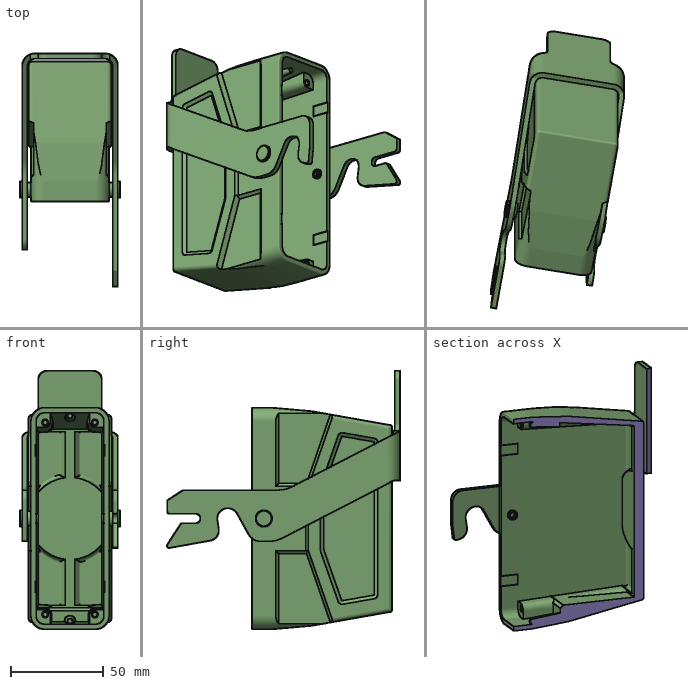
import cadquery as cq
import math


overall_width = 54.6
overall_height = 140.0

hood_height = 120.0
hood_depth = 75.9
wall = 2.8
rim_half_width = 21.1
rim_corner_radius = 7.3
rim_edge_fillet = 0.5
panel_half_width = 19.7
shoulder_half_width = 22.5
shoulder_side_fillet = 2.2
shoulder_back_fillet = 1.3
first_slope_y = 11.2
second_slope_y = 32.0
first_slope = math.tan(math.radians(5))
second_slope = math.tan(math.radians(10))

shoulder_middle_y = 30.5
shoulder_middle_half_height = 17.4
shoulder_end_y = 44.0
shoulder_step_run = 1.5

panel_front_y = 12.9
panel_slope_run = 1.7

pocket_depth = 1.4
pocket_slope_run = 2.0
pocket_back_y = 68.0
pocket_front_y = 37.0
pocket_corner_y = 47.3
pocket_corner_z = 46.8
pocket_corner_radius = 2.2

mouth_depth = 9.8
mouth_corner_radius = 4.5
floor_y = 70.0
floor_top_z = 48.5
floor_half_width = 17.1
clip_recess_depth = 0.5
clip_recess_z = 37.0
clip_recess_height = 5.7

relief_depth = 2.8
relief_disc_radius = 22.3
relief_spine_half_width = 2.7
relief_slope_run = 2.5
relief_disc_slope_run = 1.5
relief_fillet = 0.8
relief_field_half_height = 47.0

screw_x = 13.5
screw_z = 52.0
screw_hole_diameter = 2.7
screw_countersink_diameter = 3.5
screw_hole_depth = 16.8
boss_inner_x = 10.6
boss_inner_z = 49.3
boss_corner_radius = 3.1
boss_draft = 2.5
guide_diameter = 2.7
guide_base_diameter = 6.0
guide_z = 55.6
block_front_y = 27.2
block_top_z = -48.3
block_chamfer = 1.7

pivot_y = 6.5
pivot_head_diameter = 9.0
pivot_head_height = 1.33
pivot_head_chamfer = 0.35
pivot_collar_diameter = 8.0
pivot_stem_diameter = 5.0
pivot_stem_end_x = 17.1
pivot_bore_diameter = 3.5
pivot_bore_depth = 2.1

lever_half_width = overall_width / 2 - pivot_head_height
lever_thickness = 3.0
lever_back_y = 80.2
lever_bend_radius = 7.0
lever_bottom_z = 20.5
arm_slope = math.tan(math.radians(27.3))
arm_low_z = -12.3
arm_high_z = 15.4
arm_high_corner_y = 18.2
arm_low_corner_y = 13.2
arm_elbow_radius = 15.3
hook_radius = 5.5
tab_width = 34.6
tab_corner_radius = 4.9
tab_root_fillet = 4.2

half_height = hood_height / 2
tab_half_width = tab_width / 2
tab_top_z = overall_height - half_height
touching_gap = 1.4e-06


def outer_half_height(y):
    """Half height of the hood at depth y: flat, then a gentle slope, then a steeper one."""
    first_drop = first_slope * max(0.0, min(y, second_slope_y) - first_slope_y)
    second_drop = second_slope * max(0.0, y - second_slope_y)
    return half_height - first_drop - second_drop


def mirrored_in_z(points):
    """Close a (y, z) chain with z >= 0 by its mirror image below z = 0."""
    return points + [(y, -z) for y, z in reversed(points)]


def side_prism(points, x_from, x_to):
    """Prism of a (y, z) outline between two X positions."""
    return cq.Workplane("YZ", origin=(x_from, 0, 0)).polyline(points).close().extrude(x_to - x_from)


def rounded_outline(plane, origin, corners):
    """Closed outline on a plane through (u, v, radius) corners; radius 0 leaves a corner sharp."""
    arcs = []
    for index, (u, v, radius) in enumerate(corners):
        corner = cq.Vector(u, v)
        before = cq.Vector(*corners[index - 1][:2])
        after = cq.Vector(*corners[(index + 1) % len(corners)][:2])
        to_before = (before - corner).normalized()
        to_after = (after - corner).normalized()
        half_angle = to_before.getAngle(to_after) / 2
        tangent = radius / math.tan(half_angle)
        middle = corner + (to_before + to_after).normalized() * (radius / math.sin(half_angle) - radius)
        arcs.append([corner + to_before * tangent, middle, corner + to_after * tangent])

    previous_end = arcs[-1][2]
    outline = cq.Workplane(plane, origin=origin).moveTo(previous_end.x, previous_end.y)
    for (start, middle, end), (u, v, radius) in zip(arcs, corners):
        if (start - previous_end).Length > touching_gap:
            outline = outline.lineTo(start.x, start.y)
        if radius > 0:
            outline = outline.threePointArc((middle.x, middle.y), (end.x, end.y))
        previous_end = end
    return outline.close()


def mirrored_pair(body):
    """The body together with its mirror image across X = 0."""
    return body.union(body.mirror("YZ"))


def four_corners(body):
    """The body together with its mirror images across X = 0 and Z = 0."""
    pair = mirrored_pair(body)
    return pair.union(pair.mirror("XY"))


def hood_profile():
    """Side outline of the hood from the mouth to the back."""
    stations = [0, first_slope_y, second_slope_y, hood_depth]
    return mirrored_in_z([(y, outer_half_height(y)) for y in stations])


def rim_core():
    """Rounded sleeve around the mouth, trimmed by the slopes at both ends."""
    sleeve = (
        cq.Workplane("XZ")
        .rect(2 * rim_half_width, hood_height)
        .extrude(-(shoulder_end_y + shoulder_step_run))
        .edges("|Y").fillet(rim_corner_radius)
        .faces("<Y").edges().fillet(rim_edge_fillet)
    )
    trim = side_prism(hood_profile(), -rim_half_width, rim_half_width)
    return sleeve.intersect(trim)


def shoulder_outline(forward):
    """Side outline of the wide back part; forward moves its front edge towards the mouth."""
    end_y = shoulder_end_y - forward
    return mirrored_in_z([
        (shoulder_middle_y - forward, shoulder_middle_half_height),
        (end_y, outer_half_height(end_y)),
        (hood_depth, outer_half_height(hood_depth)),
    ])


def shoulder():
    """Wide back part with sloping front edges and rounded outer edges."""
    body = side_prism(shoulder_outline(shoulder_step_run), -panel_half_width, panel_half_width)
    flank = (
        cq.Workplane("YZ", origin=(panel_half_width, 0, 0))
        .polyline(shoulder_outline(shoulder_step_run)).close()
        .workplane(offset=shoulder_half_width - panel_half_width)
        .polyline(shoulder_outline(0)).close()
        .loft(ruled=True)
    )
    body = body.union(mirrored_pair(flank)).clean()
    side_edges = body.faces("<X or >X").edges(
        cq.selectors.BoxSelector(
            (-hood_height, shoulder_end_y, -hood_height), (hood_height, 2 * hood_depth, hood_height)
        )
    )
    body = side_edges.fillet(shoulder_side_fillet)
    return body.faces(">Y").edges("|X").fillet(shoulder_back_fillet)


def middle_ramp():
    """45 degree ramp from the rim side up to the shoulder on the +X side, between the panels."""
    rise = shoulder_half_width - rim_half_width
    section = [
        (rim_half_width, shoulder_middle_y - rise),
        (shoulder_half_width, shoulder_middle_y),
        (rim_half_width, shoulder_middle_y),
    ]
    return cq.Workplane("XY").polyline(section).close().extrude(shoulder_middle_half_height, both=True)


def side_panel():
    """Cutter for the recessed panel in front of the upper shoulder on the +X side."""
    back_y = shoulder_end_y + shoulder_step_run
    floor_y_front = panel_front_y + panel_slope_run
    floor_low_z = shoulder_middle_half_height + panel_slope_run
    floor = [
        (floor_y_front, floor_low_z), (back_y, floor_low_z),
        (back_y, half_height), (floor_y_front, half_height),
    ]
    opening = [
        (panel_front_y, shoulder_middle_half_height), (back_y, shoulder_middle_half_height),
        (back_y, half_height), (panel_front_y, half_height),
    ]
    return (
        cq.Workplane("YZ", origin=(panel_half_width, 0, 0)).polyline(floor).close()
        .workplane(offset=rim_half_width - panel_half_width).polyline(opening).close()
        .loft(ruled=True)
    )


def side_pocket():
    """Cutter for the pocket with sloping walls in the +X side of the shoulder."""
    back_z = pocket_corner_z - second_slope * (pocket_back_y - pocket_corner_y)
    upper = [
        (pocket_front_y, shoulder_middle_half_height, 0),
        (pocket_corner_y, pocket_corner_z, pocket_corner_radius),
        (pocket_back_y, back_z, pocket_corner_radius),
    ]
    lower = [(y, -z, radius) for y, z, radius in reversed(upper)]
    taper = math.degrees(math.atan(pocket_slope_run / pocket_depth))
    opening = rounded_outline("YZ", (shoulder_half_width, 0, 0), upper + lower)
    return opening.extrude(-pocket_depth, taper=taper)


def screw_boss():
    """Corner boss at +X, +Z from the mouth step to the floor, widening towards the floor."""
    section = [
        (boss_inner_x, half_height, 0),
        (boss_inner_x, boss_inner_z, boss_corner_radius),
        (rim_half_width, boss_inner_z, 0),
        (rim_half_width, half_height, 0),
    ]
    face = rounded_outline("XZ", (0, mouth_depth, 0), section)
    return face.extrude(-(hood_depth - mouth_depth), taper=-boss_draft)


def screw_hole():
    """Countersunk screw hole in the boss at +X, +Z."""
    sink_depth = (screw_countersink_diameter - screw_hole_diameter) / 2
    face = cq.Workplane("XZ", origin=(screw_x, mouth_depth, screw_z))
    hole = face.circle(screw_hole_diameter / 2).extrude(-screw_hole_depth)
    sink = (
        face.circle(screw_countersink_diameter / 2)
        .workplane(offset=-sink_depth).circle(screw_hole_diameter / 2)
        .loft()
    )
    return hole.union(sink)


def guide_rib():
    """Tapered round rib along the middle of the upper end wall."""
    return (
        cq.Workplane("XZ", origin=(0, mouth_depth, guide_z)).circle(guide_diameter / 2)
        .workplane(offset=-(block_front_y - mouth_depth)).circle(guide_base_diameter / 2)
        .loft()
    )


def cavity_profile():
    """Side outline of the hollow: a sloping upper wall, and a block across the lower back."""
    mouth_top = half_height - wall
    return [
        (0, mouth_top),
        (first_slope_y, mouth_top),
        (floor_y, floor_top_z),
        (floor_y, block_top_z),
        (block_front_y + block_chamfer, block_top_z),
        (block_front_y, block_top_z - block_chamfer),
        (block_front_y, wall - outer_half_height(block_front_y)),
        (first_slope_y, -mouth_top),
        (0, -mouth_top),
    ]


def cavity():
    """Hollow of the hood: a straight mouth, then walls narrowing to the floor."""
    mouth_half_width = rim_half_width - wall
    plan = [
        (-mouth_half_width, 0), (mouth_half_width, 0), (mouth_half_width, mouth_depth),
        (floor_half_width, floor_y), (-floor_half_width, floor_y), (-mouth_half_width, mouth_depth),
    ]
    narrowing = cq.Workplane("XY", origin=(0, 0, -half_height)).polyline(plan).close().extrude(hood_height)
    sleeve = (
        cq.Workplane("XZ")
        .rect(2 * mouth_half_width, 2 * (half_height - wall))
        .extrude(-hood_depth)
        .edges("|Y").fillet(mouth_corner_radius)
    )
    trim = side_prism(cavity_profile(), -rim_half_width, rim_half_width)
    rib = guide_rib()
    hollow = sleeve.intersect(narrowing).intersect(trim)
    return hollow.cut(four_corners(screw_boss())).cut(rib).cut(rib.mirror("XY"))


def floor_relief():
    """The four sunken fields of the floor, leaving the spine and the disc proud."""
    top_x = relief_spine_half_width
    low_x = top_x + relief_slope_run
    section = [
        (top_x, floor_y), (low_x, floor_y + relief_depth),
        (floor_half_width, floor_y + relief_depth), (floor_half_width, floor_y),
    ]
    field = cq.Workplane("XY").polyline(section).close().extrude(relief_field_half_height)
    disc = (
        cq.Workplane("XZ", origin=(0, floor_y, 0)).circle(relief_disc_radius)
        .workplane(offset=-relief_depth).circle(relief_disc_radius + relief_disc_slope_run)
        .loft()
    )
    return four_corners(field.cut(disc).faces(">Y").edges().fillet(relief_fillet))


def clip_recess():
    """Shallow recess in the mouth wall at +X, +Z."""
    depth = rim_half_width - wall + clip_recess_depth
    return (
        cq.Workplane("XY")
        .box(depth, mouth_depth, clip_recess_height, centered=(False, False, True))
        .translate((0, 0, clip_recess_z))
    )


def make_hood():
    panels = four_corners(side_panel())
    outer = rim_core().cut(panels).union(shoulder()).union(mirrored_pair(middle_ramp()))
    pivot_holes = (
        cq.Workplane("YZ", origin=(-rim_half_width, pivot_y, 0))
        .circle(pivot_stem_diameter / 2).extrude(2 * rim_half_width)
    )
    return (
        outer.cut(mirrored_pair(side_pocket()))
        .cut(cavity())
        .cut(floor_relief())
        .cut(four_corners(screw_hole()))
        .cut(four_corners(clip_recess()))
        .cut(pivot_holes)
    )


def make_pivot_pin(side):
    """Headed pin at +X (side 1) or -X (side -1): head on the arm, collar through it, stem in the hood."""
    head = (
        cq.Workplane("YZ", origin=(lever_half_width, pivot_y, 0))
        .circle(pivot_head_diameter / 2).extrude(pivot_head_height)
        .faces(">X").edges().chamfer(pivot_head_chamfer)
    )
    collar = (
        cq.Workplane("YZ", origin=(rim_half_width, pivot_y, 0))
        .circle(pivot_collar_diameter / 2).extrude(lever_half_width - rim_half_width)
    )
    stem = (
        cq.Workplane("YZ", origin=(pivot_stem_end_x, pivot_y, 0))
        .circle(pivot_stem_diameter / 2).extrude(rim_half_width - pivot_stem_end_x)
    )
    bore = (
        cq.Workplane("YZ", origin=(pivot_stem_end_x, pivot_y, 0))
        .circle(pivot_bore_diameter / 2).extrude(pivot_bore_depth)
    )
    pin = head.union(collar).union(stem).cut(bore)
    return pin if side > 0 else pin.mirror("YZ")


arm_top_back_z = arm_high_z + arm_slope * (lever_back_y - arm_high_corner_y)
bend_end_y = lever_back_y - lever_bend_radius
arm_start_low_z = arm_low_z + arm_slope * (bend_end_y - arm_low_corner_y)

bottom_step_length = 3.1
bottom_step_radius = 2.8
pivot_heel_y = 0.1
pivot_heel_radius = 7.3
hook_back_y = -9.7
hook_front_y = -19.6
nose = (-17.1, -11.0, 5.7)
arm_underside = [
    (lever_back_y, arm_top_back_z, 0),
    (lever_back_y, lever_bottom_z, 0),
    (bend_end_y + bottom_step_length, lever_bottom_z, bottom_step_radius),
    (bend_end_y, arm_start_low_z, 0),
    (arm_low_corner_y, arm_low_z, arm_elbow_radius),
    (pivot_heel_y, arm_low_z, pivot_heel_radius),
    (hook_back_y, hook_radius, hook_radius),
    (hook_front_y, hook_radius, hook_radius),
    nose,
]
arm_top = [(arm_high_corner_y, arm_high_z, arm_elbow_radius)]

short_arm_front_y = -26.2
short_arm_end = [
    (-25.2, -12.5, 1.1),
    (short_arm_front_y, -3.9, 0),
    (short_arm_front_y, arm_high_z, 5.6),
]

slot_half_height = 2.5
slot_end_y = -28.0
fork_front_y = -45.9
fork_tip_radius = 1.3
fork_edge_radius = 0.7
fork_end = [
    (-47.5, -16.5, fork_tip_radius),
    (-38.4, -slot_half_height, fork_tip_radius),
    (slot_end_y, -slot_half_height, slot_half_height),
    (slot_end_y, slot_half_height, slot_half_height),
    (fork_front_y, slot_half_height, fork_tip_radius),
    (fork_front_y, 9.8, fork_edge_radius),
    (-37.4, arm_high_z, fork_edge_radius),
]


def bent_strip():
    """U-shaped strip around the back of the hood, tall enough for any arm outline."""
    def block(inset, radius):
        half_width = lever_half_width - inset
        length = lever_back_y - inset + hood_height
        return (
            cq.Workplane("XY", origin=(0, 0, -half_height))
            .rect(2 * half_width, 2 * length).extrude(2 * hood_height)
            .translate((0, lever_back_y - inset - length, 0))
            .edges("|Z and >Y").fillet(radius)
        )
    return block(0, lever_bend_radius).cut(block(lever_thickness, lever_bend_radius - lever_thickness))


def tab():
    """Upright finger tab on the back of the strip with flared roots."""
    half_flare = tab_half_width + tab_root_fillet
    right = [
        (half_flare, arm_top_back_z - tab_root_fillet, 0),
        (half_flare, arm_top_back_z, 0),
        (tab_half_width, arm_top_back_z, tab_root_fillet),
        (tab_half_width, tab_top_z, tab_corner_radius),
    ]
    left = [(-x, z, radius) for x, z, radius in reversed(right)]
    plate = rounded_outline("XZ", (0, lever_back_y, 0), right + left).extrude(lever_bend_radius)
    return plate.intersect(bent_strip())


def arm_prism(front_end, reach):
    """Side outline of an arm with the given front end, extruded from X = 0 to X = reach."""
    return rounded_outline("YZ", (0, 0, 0), arm_underside + front_end + arm_top).extrude(reach)


def make_lever():
    arms = arm_prism(fork_end, lever_half_width).union(arm_prism(short_arm_end, -lever_half_width))
    pivot_holes = (
        cq.Workplane("YZ", origin=(-lever_half_width, pivot_y, 0))
        .circle(pivot_collar_diameter / 2).extrude(2 * lever_half_width)
    )
    return arms.intersect(bent_strip()).union(tab()).cut(pivot_holes)


hood = make_hood()
lever = make_lever()
pivot_pins = [make_pivot_pin(side) for side in (1, -1)]

result = cq.Compound.makeCompound([hood.val(), lever.val(), *[pin.val() for pin in pivot_pins]])